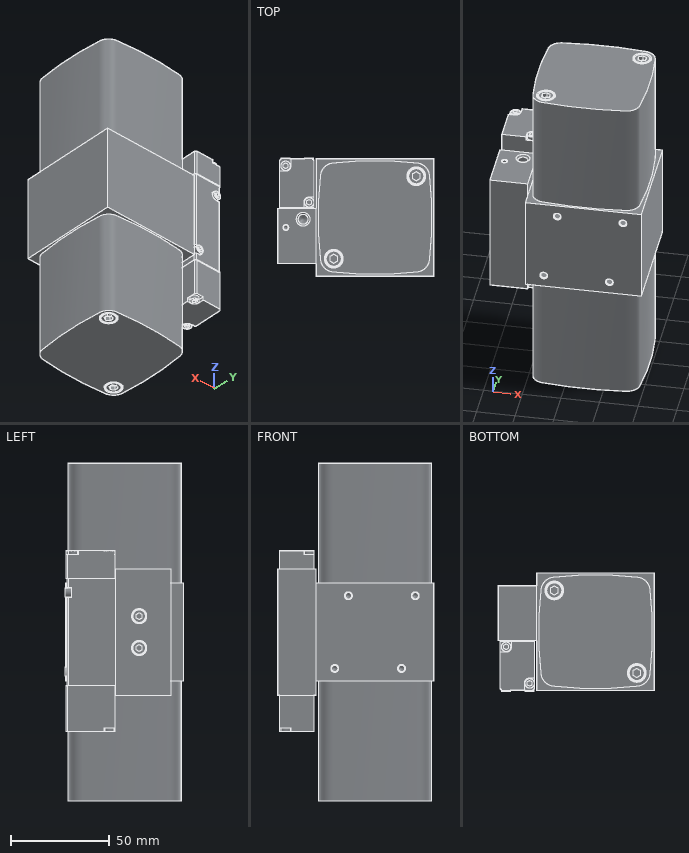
import cadquery as cq
import math

BLOCK_WIDTH = 60.0
BLOCK_HEIGHT = 50.0
BLOCK_SIDE = BLOCK_WIDTH / 2
BLOCK_TOP = BLOCK_HEIGHT / 2
MOUNT_HOLE_DIAMETER = 3.24
MOUNT_HOLE_MOUTH = 4.0
MOUNT_HOLE_DEPTH = 8.0
MOUNT_PITCH_X = 34.0
MOUNT_ROW_SHIFT = 3.5
MOUNT_ROW_HEIGHT = 18.5

TOTAL_HEIGHT = 172.0
COVER_HEIGHT = (TOTAL_HEIGHT - BLOCK_HEIGHT) / 2
COVER_REACH = 29.0
COVER_SIDE_RADIUS = 180.0
COVER_CORNER_RADIUS = 7.0
COVER_SCREW_OFFSET = 21.0
COVER_BORE_DIAMETER = 9.5
COVER_HEAD_DIAMETER = 8.57
COVER_HEAD_TOP_DIAMETER = 7.7
COVER_RING_DEPTH = 5.0
COVER_SOCKET_FLATS = 4.0
COVER_SOCKET_DEPTH = 2.5

BASE_WIDTH = 19.6
BASE_FRONT = -23.5
BASE_BACK = 4.6
BASE_HEIGHT = 64.4
BASE_LEFT = -BLOCK_SIDE - BASE_WIDTH
PORT_X = -36.6
PORT_Y = -0.9
PORT_DIAMETER = 5.0
PORT_MOUTH = 7.0
PORT_DEPTH = 9.0
PILOT_X = -45.4
PILOT_Y = -5.1
PILOT_DIAMETER = 2.46
PILOT_MOUTH = 3.0
PILOT_DEPTH = 6.0
PLUG_Y = -7.4
PLUG_PITCH = 16.2
PLUG_BORE_DIAMETER = 7.7
PLUG_DIAMETER = 7.0
PLUG_TOP_DIAMETER = 6.4
PLUG_RING_DEPTH = 1.0
PLUG_SOCKET_FLATS = 3.0
PLUG_SOCKET_DEPTH = 2.0

VALVE_WIDTH = 17.7
VALVE_GAP = 1.0
VALVE_RIGHT = -BLOCK_SIDE - VALVE_GAP
VALVE_LEFT = VALVE_RIGHT - VALVE_WIDTH
BODY_BACK = 29.4
BODY_HALF_HEIGHT = 27.2
CAP_FRONT = 5.0
CAP_BACK = 29.9
UPPER_CAP_END = 41.5
LOWER_CAP_END = -50.7
EDGE_CHAMFER = 0.9

SCREW_LEFT_X = -45.5
SCREW_RIGHT_X = -33.5
CAP_SCREW_FRONT_Y = 7.7
CAP_SCREW_BACK_Y = 26.3
CAP_HEAD_DIAMETER = 4.8
CAP_HEAD_HEIGHT = 2.0
BODY_SCREW_Z = 20.1
BODY_HEAD_DIAMETER = 4.6
BODY_HEAD_TOP = 30.4
BODY_POCKET_FLOOR = 27.1
POCKET_CLEARANCE = 0.3
SCREW_SOCKET_FLATS = 2.5
SCREW_SOCKET_DEPTH = 1.2

DRILL_TIP_HALF_ANGLE = math.radians(59)
HEXAGON_SIDES = 6
HEXAGON_HALF_ANGLE = 180 / HEXAGON_SIDES


def box_between(x_range, y_range, z_range):
    """A box between two coordinates along each axis."""
    low, high = zip(x_range, y_range, z_range)
    size = [b - a for a, b in zip(low, high)]
    return cq.Workplane("XY").box(*size, centered=False).translate(low)


def drilled_hole(plane, diameter, mouth, depth):
    """Cutter for a blind hole with a chamfered mouth and a conical drill tip, going into the plane."""
    radius = diameter / 2
    chamfer = (mouth - diameter) / 2
    tip = radius / math.tan(DRILL_TIP_HALF_ANGLE)
    profile = (
        cq.Workplane("XZ")
        .polyline([
            (0, 0),
            (mouth / 2, 0),
            (radius, -chamfer),
            (radius, -depth),
            (0, -depth - tip),
        ])
        .close()
        .revolve(360, (0, 0), (0, 1))
    )
    return cq.Workplane(profile.val().moved(plane.location))


def screw_recess(plane, bore, head, head_top, ring_depth, socket_flats, socket_depth):
    """Cutter for the ring around a chamfered flush screw head, plus its hexagon socket."""
    chamfer = (head - head_top) / 2
    ring = (
        cq.Workplane("XZ")
        .polyline([
            (head_top / 2, 0),
            (bore / 2, 0),
            (bore / 2, -ring_depth),
            (head / 2, -ring_depth),
            (head / 2, -chamfer),
        ])
        .close()
        .revolve(360, (0, 0), (0, 1))
    )
    socket = hexagon_socket(socket_flats, socket_depth)
    return cq.Workplane(ring.union(socket).val().moved(plane.location))


def hexagon_socket(flats, depth):
    """Hexagonal cutter below Z = 0, with two corners on the Y axis."""
    corner_diameter = flats / math.cos(math.radians(HEXAGON_HALF_ANGLE))
    return (
        cq.Workplane("XY")
        .polygon(HEXAGON_SIDES, corner_diameter)
        .extrude(-depth)
        .rotate((0, 0, 0), (0, 0, 1), HEXAGON_HALF_ANGLE)
    )


def make_block():
    block = cq.Workplane("XY").box(BLOCK_WIDTH, BLOCK_WIDTH, BLOCK_HEIGHT)
    for row in (1, -1):
        for side in (1, -1):
            x = row * MOUNT_ROW_SHIFT + side * MOUNT_PITCH_X / 2
            mouth = cq.Plane((x, -BLOCK_SIDE, row * MOUNT_ROW_HEIGHT), (1, 0, 0), (0, -1, 0))
            block = block.cut(drilled_hole(mouth, MOUNT_HOLE_DIAMETER, MOUNT_HOLE_MOUTH, MOUNT_HOLE_DEPTH))
    return block


def make_cover():
    """The upper cover, with its two flush screws in opposite corners."""
    centre = COVER_REACH - COVER_SIDE_RADIUS
    corner = (centre + math.sqrt(2 * COVER_SIDE_RADIUS**2 - centre**2)) / 2
    cover = (
        cq.Workplane("XY", origin=(0, 0, BLOCK_TOP))
        .moveTo(-corner, -corner)
        .threePointArc((0, -COVER_REACH), (corner, -corner))
        .threePointArc((COVER_REACH, 0), (corner, corner))
        .threePointArc((0, COVER_REACH), (-corner, corner))
        .threePointArc((-COVER_REACH, 0), (-corner, -corner))
        .close()
        .extrude(COVER_HEIGHT)
        .edges("|Z")
        .fillet(COVER_CORNER_RADIUS)
    )
    for side in (1, -1):
        offset = side * COVER_SCREW_OFFSET
        top = cq.Plane((offset, offset, TOTAL_HEIGHT / 2))
        cover = cover.cut(
            screw_recess(
                top, COVER_BORE_DIAMETER, COVER_HEAD_DIAMETER, COVER_HEAD_TOP_DIAMETER,
                COVER_RING_DEPTH, COVER_SOCKET_FLATS, COVER_SOCKET_DEPTH,
            )
        )
    return cover


def make_valve_base():
    half_height = BASE_HEIGHT / 2
    base = box_between((BASE_LEFT, -BLOCK_SIDE), (BASE_FRONT, BASE_BACK), (-half_height, half_height))
    port = cq.Plane((PORT_X, PORT_Y, half_height))
    base = base.cut(drilled_hole(port, PORT_DIAMETER, PORT_MOUTH, PORT_DEPTH))
    pilot = cq.Plane((PILOT_X, PILOT_Y, half_height))
    base = base.cut(drilled_hole(pilot, PILOT_DIAMETER, PILOT_MOUTH, PILOT_DEPTH))
    for side in (1, -1):
        plug = cq.Plane((BASE_LEFT, PLUG_Y, side * PLUG_PITCH / 2), (0, -1, 0), (-1, 0, 0))
        base = base.cut(
            screw_recess(
                plug, PLUG_BORE_DIAMETER, PLUG_DIAMETER, PLUG_TOP_DIAMETER,
                PLUG_RING_DEPTH, PLUG_SOCKET_FLATS, PLUG_SOCKET_DEPTH,
            )
        )
    return base


def socket_head(plane, diameter, height):
    """Screw head standing on the plane, with a hexagon socket in its top."""
    head = cq.Workplane("XY").circle(diameter / 2).extrude(height)
    socket = hexagon_socket(SCREW_SOCKET_FLATS, SCREW_SOCKET_DEPTH).translate((0, 0, height))
    return cq.Workplane(head.cut(socket).val().moved(plane.location))


def make_valve_cap(height, left_screw_y, right_screw_y):
    """Cap standing on Z = 0, with two flush screw heads in opposite corners of its top."""
    cap = (
        box_between((VALVE_LEFT, VALVE_RIGHT), (CAP_FRONT, CAP_BACK), (0, height))
        .edges("|Z and >Y")
        .chamfer(EDGE_CHAMFER)
    )
    floor = height - CAP_HEAD_HEIGHT
    pocket_radius = CAP_HEAD_DIAMETER / 2 + POCKET_CLEARANCE
    middle_x = (VALVE_LEFT + VALVE_RIGHT) / 2
    middle_y = (CAP_FRONT + CAP_BACK) / 2
    for x, y in ((SCREW_LEFT_X, left_screw_y), (SCREW_RIGHT_X, right_screw_y)):
        if x < middle_x:
            x_range = (VALVE_LEFT, x + pocket_radius)
            inner_x = ">X"
        else:
            x_range = (x - pocket_radius, VALVE_RIGHT)
            inner_x = "<X"
        if y < middle_y:
            y_range = (CAP_FRONT, y + pocket_radius)
            inner_y = ">Y"
        else:
            y_range = (y - pocket_radius, CAP_BACK)
            inner_y = "<Y"
        pocket = (
            box_between(x_range, y_range, (floor, height))
            .edges(f"(|Z and {inner_x}) and (|Z and {inner_y})")
            .fillet(pocket_radius)
        )
        cap = cap.cut(pocket)
        cap = cap.union(socket_head(cq.Plane((x, y, floor)), CAP_HEAD_DIAMETER, CAP_HEAD_HEIGHT))
    return cap


def make_valve_body():
    """Body between the caps, with two raised screw heads in slots open to its sides."""
    body = (
        box_between(
            (VALVE_LEFT, VALVE_RIGHT),
            (BASE_BACK, BODY_BACK),
            (-BODY_HALF_HEIGHT, BODY_HALF_HEIGHT),
        )
        .edges("|Z and >Y")
        .chamfer(EDGE_CHAMFER)
    )
    slot_radius = BODY_HEAD_DIAMETER / 2 + POCKET_CLEARANCE
    head_height = BODY_HEAD_TOP - BODY_POCKET_FLOOR
    for x, side_x, z in (
        (SCREW_LEFT_X, VALVE_LEFT, BODY_SCREW_Z),
        (SCREW_RIGHT_X, VALVE_RIGHT, -BODY_SCREW_Z),
    ):
        seat = cq.Plane((x, BODY_POCKET_FLOOR, z), (1, 0, 0), (0, 1, 0))
        bore = cq.Workplane(seat).circle(slot_radius).extrude(head_height)
        opening = box_between(
            sorted((x, side_x)),
            (BODY_POCKET_FLOOR, BODY_HEAD_TOP),
            (z - slot_radius, z + slot_radius),
        )
        body = body.cut(bore.union(opening))
        body = body.union(socket_head(seat, BODY_HEAD_DIAMETER, head_height))
    return body


block = make_block()
upper_cover = make_cover()
lower_cover = upper_cover.mirror("XY")
valve_base = make_valve_base()
valve_body = make_valve_body()
upper_cap = make_valve_cap(
    UPPER_CAP_END - BODY_HALF_HEIGHT, CAP_SCREW_BACK_Y, CAP_SCREW_FRONT_Y
).translate((0, 0, BODY_HALF_HEIGHT))
lower_cap = (
    make_valve_cap(-LOWER_CAP_END - BODY_HALF_HEIGHT, CAP_SCREW_FRONT_Y, CAP_SCREW_BACK_Y)
    .mirror("XY")
    .translate((0, 0, -BODY_HALF_HEIGHT))
)

result = cq.Compound.makeCompound([
    block.solids().val(),
    upper_cover.solids().val(),
    lower_cover.solids().val(),
    valve_base.solids().val(),
    valve_body.solids().val(),
    upper_cap.solids().val(),
    lower_cap.solids().val(),
])